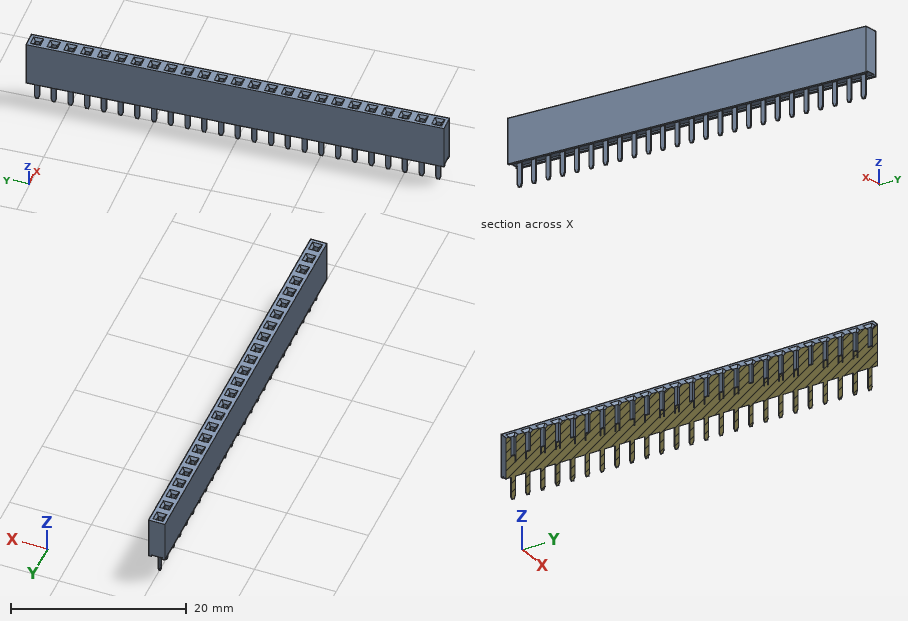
import cadquery as cq

contact_count = 25
pitch = 2.0
body_width = 2.0
body_length = contact_count * pitch
total_height = 8.3
pin_length = 2.7
body_height = total_height - pin_length

channel_width = 1.3
channel_depth = 0.2

mouth_size = 1.2
throat_size = 0.6
funnel_depth = (mouth_size - throat_size) / 2
socket_depth = 3.5
socket_floor = body_height - socket_depth

pin_thickness = 0.2
pin_width = 0.6
tip_width = pin_width / 2
tip_height = 0.4
contact_width = 0.5
contact_height = 0.9

first_contact_y = -(contact_count - 1) * pitch / 2
contact_positions = [(0, first_contact_y + i * pitch) for i in range(contact_count)]


def make_housing():
    """Plain bar with its underside at Z = 0 and a channel along the bottom."""
    seated = (True, True, False)
    bar = cq.Workplane("XY").box(body_width, body_length, body_height, centered=seated)
    channel = cq.Workplane("XY").box(channel_width, body_length, channel_depth, centered=seated)
    return bar.cut(channel)


def make_socket():
    """Cutter for one square socket: a tapered mouth above a straight throat."""
    funnel = (
        cq.Workplane("XY", origin=(0, 0, body_height))
        .rect(mouth_size, mouth_size)
        .workplane(offset=-funnel_depth)
        .rect(throat_size, throat_size)
        .loft(ruled=True)
    )
    throat = (
        cq.Workplane("XY", origin=(0, 0, socket_floor))
        .rect(throat_size, throat_size)
        .extrude(socket_depth - funnel_depth)
    )
    return funnel.union(throat)


def make_pin():
    """One flat pin, from its tapered tip up through the socket floor."""
    contact_top = socket_floor + contact_height
    right_half = [
        (tip_width / 2, -pin_length),
        (pin_width / 2, tip_height - pin_length),
        (pin_width / 2, socket_floor),
        (contact_width / 2, socket_floor),
        (contact_width / 2, contact_top),
    ]
    left_half = [(-y, z) for y, z in reversed(right_half)]
    profile = cq.Workplane("YZ").polyline(right_half + left_half).close()
    return profile.extrude(pin_thickness / 2, both=True)


def at_each_contact(shape):
    """Copies of one shape, one per contact position."""
    solid = shape.val()
    return cq.Workplane("XY").pushPoints(contact_positions).eachpoint(lambda place: solid.moved(place))


housing = make_housing().cut(at_each_contact(make_socket()))
result = housing.union(at_each_contact(make_pin()))